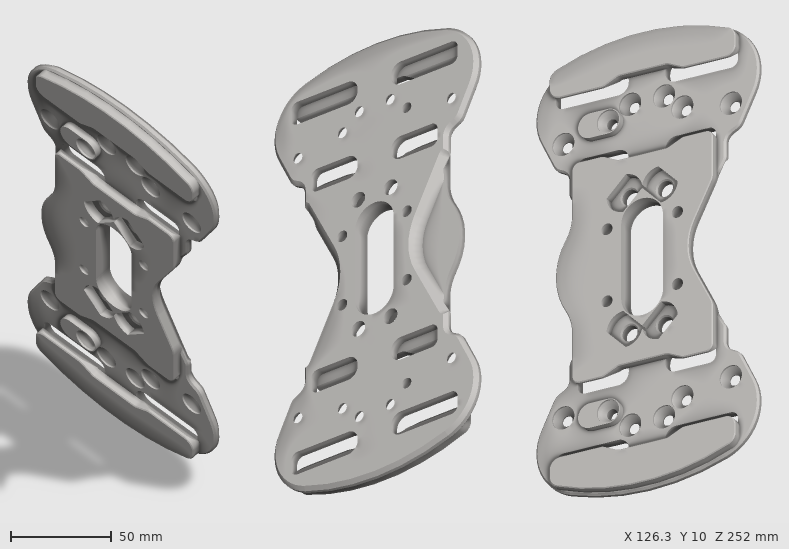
import cadquery as cq
import math


base_thickness = 5.0
pad_thickness = 5.0
boss_height = 4.0
total_thickness = base_thickness + pad_thickness
front_chamfer = 1.0
raised_chamfer = 0.5
back_chamfer = 2.0

half_length = 126.0
overall_width = 126.3
lobe_half_width = overall_width / 2
crown_radius = 133.5
crown_half_width = 44.0
flank_angle = math.radians(26.6)
shoulder = (52.2, 62.5, 7.5)
neck_half_width = 44.4
neck_top = (neck_half_width, 58.5, 6.0)
neck_bottom = (neck_half_width, 46.4, 5.0)
waist_half_width = 39.8
notch_foot = (waist_half_width, 38.3, 5.0)
waist_bend = (waist_half_width, 34.5, 10.0)
waist = (22.5, 0.0, 30.2)
bevel_half_length = 51.7

notch_half_width = 13.9
notch_run = 8.8
notch_depth = 4.0
notch_radius = 5.0
hook_undercut = 3.3

pad_top = 124.5
pad_hook_z = 99.3
pad_half_width = 52.7
pad_crown_radius = crown_radius - (half_length - pad_top)
pad_crown_half_width = 48.6
pad_lower_radius = 6.0

grip_hook_z = 61.0
grip_corner_radius = 4.0
palm_half_length = 32.8
palm_blend_radius = 25.2
palm_radius = 37.8

slot_gap_half_width = 10.3
slot_inner_radius = 6.0
slot_outer_radius = 4.0
slot_height = 13.0
pad_slot_end = 51.5
pad_slot_edge = 95.3
grip_slot_end = 39.0
grip_slot_edge = 65.0

screw_diameter = 5.8
screw_head_diameter = 12.5
screw_head_rim = 1.0
screw_places = [(9.5, 88.7), (20.0, 80.1), (47.5, 75.5)]
pin_diameter = 6.3
pin_place = 20.0
window_width = 23.7
window_length = 64.5

boss_width = 13.5
boss_inner_x = -screw_places[1][0]
boss_z = screw_places[1][1]
boss_outer_x = -30.0

nut_spacing = 20.0
nut_x = nut_spacing / 2
nut_z = 37.5
nut_hole_diameter = 8.5
nut_hole_chamfer = 0.8
nut_pocket_diameter = 20.5
nut_pocket_flats = 13.4


def at_depth(height):
    """Workplane parallel to the back, at a height above it, facing -Y."""
    return cq.Workplane("XZ", origin=(0, -height, 0))


def mirrored(corners):
    """The corners reflected across Z = 0, in reverse order."""
    return [(x, -z, radius) for x, z, radius in reversed(corners)]


def rounded_corners(path, before, corners, after):
    """Extend the path along the (x, z, radius) corners, rounding each one, to the last point."""
    points = [before] + [corner[:2] for corner in corners] + [after]
    for i, (x, z, radius) in enumerate(corners):
        corner = cq.Vector(x, z)
        back = (cq.Vector(*points[i]) - corner).normalized()
        ahead = (cq.Vector(*points[i + 2]) - corner).normalized()
        half_angle = back.getAngle(ahead) / 2
        reach = radius / math.tan(half_angle)
        inset = radius / math.sin(half_angle) - radius
        middle = corner + (back + ahead).normalized() * inset
        start = corner + back * reach
        end = corner + ahead * reach
        path = path.lineTo(start.x, start.y)
        path = path.threePointArc((middle.x, middle.y), (end.x, end.y))
    return path.lineTo(*after)


def both_ends(solid):
    """The solid together with its reflection across Z = 0."""
    return solid.union(solid.mirror("XY"))


def base_blank():
    """Symmetric base, without edge chamfers."""
    crown_angle = math.asin(crown_half_width / crown_radius)
    crown_center_z = half_length - crown_radius
    lobe_radius = (lobe_half_width - crown_half_width) / (1 - math.sin(crown_angle))
    lobe_x = lobe_half_width - lobe_radius
    lobe_z = crown_center_z + (crown_radius - lobe_radius) * math.cos(crown_angle)

    def crown_point(angle):
        return crown_radius * math.sin(angle), crown_center_z + crown_radius * math.cos(angle)

    crown_middle = crown_point(crown_angle / 2)
    crown_end = crown_point(crown_angle)
    lobe_side = (lobe_half_width, lobe_z)
    lobe_end_x = lobe_x + lobe_radius * math.cos(flank_angle)
    lobe_end_z = lobe_z - lobe_radius * math.sin(flank_angle)
    lobe_end = (lobe_end_x, lobe_end_z)

    def below(point):
        return point[0], -point[1]

    upper_side = [shoulder, neck_top, neck_bottom, notch_foot, waist_bend]
    side = upper_side + [waist] + mirrored(upper_side)
    path = at_depth(0).moveTo(0, half_length)
    path = path.threePointArc(crown_middle, crown_end).threePointArc(lobe_side, lobe_end)
    path = rounded_corners(path, lobe_end, side, below(lobe_end))
    path = path.threePointArc(below(lobe_side), below(crown_end))
    path = path.threePointArc(below(crown_middle), (0, -half_length))
    half = path.close().extrude(base_thickness)
    return half.union(half.mirror("YZ")).clean()


def waist_bevel():
    """Cutter that slopes the base waist at 45 degrees, narrowing it toward the back."""
    waist_slope = (waist_bend[0] - waist[0]) / waist_bend[1]
    top = (neck_half_width, (neck_half_width - waist[0]) / waist_slope)
    bottom = (top[0], -top[1])
    path = rounded_corners(at_depth(base_thickness).moveTo(*top), top, [waist], bottom)
    flare = path.close().extrude(-base_thickness, taper=-45)
    limit = cq.Workplane("XY").box(2 * lobe_half_width, 2 * base_thickness, 2 * bevel_half_length)
    right = flare.intersect(limit)
    return right.union(right.mirror("YZ"))


def hook_edge(edge_z, notch_direction):
    """Corners of the central notch in a hook edge, from -X to +X."""
    notch_z = edge_z + notch_direction * notch_depth
    outer_x = notch_half_width + notch_run
    return [
        (-outer_x, edge_z, notch_radius),
        (-notch_half_width, notch_z, notch_radius),
        (notch_half_width, notch_z, notch_radius),
        (outer_x, edge_z, notch_radius),
    ]


def undercut(edge_z, inward):
    """Wedge that hollows the back of a hook edge so that it holds a strap."""
    wedge = (
        cq.Workplane("YZ", origin=(-lobe_half_width, 0, 0))
        .moveTo(-base_thickness, edge_z + inward * hook_undercut)
        .lineTo(-base_thickness - hook_undercut, edge_z)
        .lineTo(-base_thickness, edge_z)
        .close()
    )
    return wedge.extrude(2 * lobe_half_width)


def end_pad():
    """Raised pad near the +Z end."""
    crown_center_z = pad_top - pad_crown_radius
    crown_angle = math.asin(pad_crown_half_width / pad_crown_radius)
    crown_end_z = crown_center_z + pad_crown_radius * math.cos(crown_angle)
    corner_radius = (pad_half_width - pad_crown_half_width) / (1 - math.sin(crown_angle))
    side_z = crown_center_z + (pad_crown_radius - corner_radius) * math.cos(crown_angle)
    middle_angle = (math.pi / 2 - crown_angle) / 2
    corner_x = pad_half_width - corner_radius * (1 - math.cos(middle_angle))
    corner_z = side_z + corner_radius * math.sin(middle_angle)

    lower = (
        [(-pad_half_width, pad_hook_z, pad_lower_radius)]
        + hook_edge(pad_hook_z, 1)
        + [(pad_half_width, pad_hook_z, pad_lower_radius)]
    )
    path = at_depth(base_thickness).moveTo(-pad_half_width, side_z)
    path = rounded_corners(path, (-pad_half_width, side_z), lower, (pad_half_width, side_z))
    path = path.threePointArc((corner_x, corner_z), (pad_crown_half_width, crown_end_z))
    path = path.threePointArc((0, pad_top), (-pad_crown_half_width, crown_end_z))
    path = path.threePointArc((-corner_x, corner_z), (-pad_half_width, side_z))
    pad = path.close().extrude(pad_thickness)
    return pad.faces("<Y").edges().chamfer(raised_chamfer).cut(undercut(pad_hook_z, 1))


def grip_plate():
    """Raised plate with a waist on +X and a palm swell on -X, without edge chamfers."""
    upper = [(-waist_half_width, grip_hook_z, grip_corner_radius)]
    upper += hook_edge(grip_hook_z, -1)
    upper += [(waist_half_width, grip_hook_z, grip_corner_radius), waist_bend]
    corners = upper + [waist] + mirrored(upper)

    palm_angle = math.asin(palm_half_length / (palm_radius + palm_blend_radius))

    def blend_point(angle):
        x = -waist_half_width - palm_blend_radius * (1 - math.cos(angle))
        return x, palm_half_length - palm_blend_radius * math.sin(angle)

    blend_middle = blend_point(palm_angle / 2)
    blend_end = blend_point(palm_angle)
    palm_x = blend_end[0] - palm_radius * (1 - math.cos(palm_angle))
    palm_start = (-waist_half_width, -palm_half_length)
    palm_end = (-waist_half_width, palm_half_length)

    path = at_depth(base_thickness).moveTo(*palm_end)
    path = rounded_corners(path, palm_end, corners, palm_start)
    path = path.threePointArc((blend_middle[0], -blend_middle[1]), (blend_end[0], -blend_end[1]))
    path = path.threePointArc((palm_x, 0), blend_end).threePointArc(blend_middle, palm_end)
    return path.close().extrude(pad_thickness)


def strap_slots(end_x, low_z):
    """Pair of rounded slots through the base, one on each side of the middle."""
    high_z = low_z + slot_height
    start = (slot_gap_half_width, low_z + slot_height / 2)
    corners = [
        (slot_gap_half_width, low_z, slot_inner_radius),
        (end_x, low_z, slot_outer_radius),
        (end_x, high_z, slot_outer_radius),
        (slot_gap_half_width, high_z, slot_inner_radius),
    ]
    path = rounded_corners(at_depth(0).moveTo(*start), start, corners, start)
    slot = path.close().extrude(base_thickness)
    return slot.union(slot.mirror("YZ"))


def screw_holes(places, top):
    """Through holes with 90 degree countersinks sunk a little below the given height."""
    shanks = at_depth(0).pushPoints(places).circle(screw_diameter / 2).extrude(top)
    rims = at_depth(top).pushPoints(places).circle(screw_head_diameter / 2).extrude(-screw_head_rim)
    cone_depth = (screw_head_diameter - screw_diameter) / 2
    cones = at_depth(top - screw_head_rim).pushPoints(places).circle(screw_head_diameter / 2)
    return shanks.union(rims).union(cones.extrude(-cone_depth, taper=45))


def oblong_boss():
    """Raised boss around the inner screw on -X."""
    middle_x = (boss_inner_x + boss_outer_x) / 2
    length = boss_inner_x - boss_outer_x + boss_width
    outline = at_depth(base_thickness).center(middle_x, boss_z).slot2D(length, boss_width)
    return outline.extrude(boss_height)


def nut_pocket():
    """Round pocket with two flats at 45 degrees, and its through hole, on -X and +Z."""
    center = at_depth(base_thickness).center(-nut_x, nut_z)
    disc = center.circle(nut_pocket_diameter / 2).extrude(pad_thickness)
    slanted = center.transformed(rotate=(0, 0, 45))
    slab = slanted.rect(nut_pocket_diameter, nut_pocket_flats).extrude(pad_thickness)
    hole = at_depth(0).center(-nut_x, nut_z).circle(nut_hole_diameter / 2).extrude(base_thickness)
    mouth = center.circle(nut_hole_diameter / 2 + nut_hole_chamfer).extrude(-nut_hole_chamfer, taper=45)
    return disc.intersect(slab).union(hole).union(mouth)


blank = base_blank()
grip = grip_plate()
full_edge = blank.intersect(grip.translate((0, front_chamfer, 0)))
result = blank.faces(">Y").edges().chamfer(back_chamfer)
result = result.faces("<Y").edges().chamfer(front_chamfer).union(full_edge)

pad_slots = strap_slots(pad_slot_end, pad_slot_edge)
grip_slots = strap_slots(grip_slot_end, grip_slot_edge - slot_height)
result = result.cut(waist_bevel()).cut(both_ends(pad_slots)).cut(both_ends(grip_slots))

result = result.union(grip.faces("<Y").edges().chamfer(raised_chamfer))
result = result.union(both_ends(end_pad())).union(both_ends(oblong_boss()))

result = result.cut(both_ends(undercut(grip_hook_z, -1)))

boss_screw = (boss_inner_x, boss_z)
left_places = [(-x, z) for x, z in screw_places]
flush_places = screw_places + [place for place in left_places if place != boss_screw]
result = result.cut(both_ends(screw_holes(flush_places, base_thickness)))
result = result.cut(both_ends(screw_holes([boss_screw], base_thickness + boss_height)))

pins = at_depth(0).rect(2 * pin_place, 2 * pin_place, forConstruction=True).vertices()
result = result.cut(pins.circle(pin_diameter / 2).extrude(total_thickness))
window = at_depth(0).slot2D(window_length, window_width, 90).extrude(total_thickness)
pocket = nut_pocket()
result = result.cut(window).cut(both_ends(pocket.union(pocket.mirror("YZ"))))